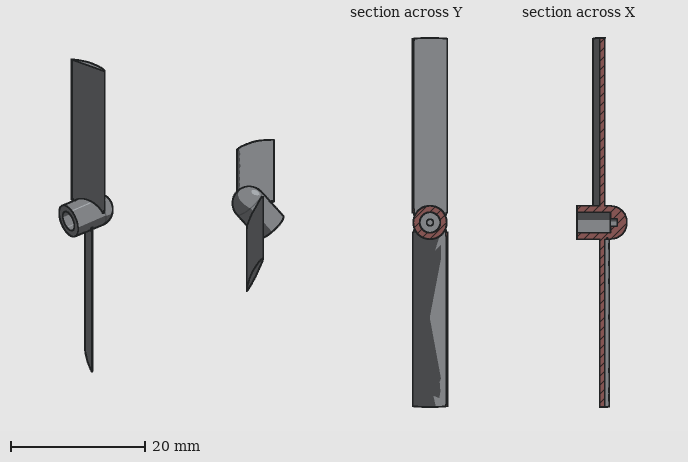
import cadquery as cq
import math

hub_diameter = 5.0
hub_length = 5.0
rotor_diameter = 55.0
bore_diameter = 3.0
bore_depth = hub_length
pilot_diameter = 1.0
pilot_depth = 1.0

rotor_width = 5.35
nose_x = 2.6
nose_y = -0.2
tail_y = -2.6
tail_thickness = 0.1
upper_bulge = 0.55
lower_bulge = 0.15
chord_stations = [0.25, 0.5, 0.75, 0.96]

root_height = 1.45
root_inner_height = 0.9
root_shelf = 0.2
root_inset = 0.35

hub_radius = hub_diameter / 2
rotor_radius = rotor_diameter / 2
tail_x = -rotor_width / 2


def make_hub():
    """Round hub with its open end at -Y and a hemispherical nose at +Y."""
    barrel = cq.Workplane("XZ").circle(hub_radius).extrude(hub_length)
    nose = cq.Workplane("XY").sphere(hub_radius)
    return barrel.union(nose)


def make_blade_outline():
    """Block with the outline of the upper blade along Y: dipped root, tip arc about the hub axis."""
    side_x = rotor_width / 2
    shelf_x = side_x - root_shelf
    inner_x = side_x - root_inset
    tip_shoulder = math.sqrt(rotor_radius**2 - side_x**2)
    return (
        cq.Workplane("XZ")
        .moveTo(-inner_x, root_inner_height)
        .lineTo(inner_x, root_inner_height)
        .lineTo(shelf_x, root_height)
        .lineTo(side_x, root_height)
        .lineTo(side_x, tip_shoulder)
        .threePointArc((0, rotor_radius), (-side_x, tip_shoulder))
        .lineTo(-side_x, root_height)
        .lineTo(-shelf_x, root_height)
        .close()
        .extrude(hub_length, both=True)
    )


def section_point(station, bulge):
    """Point on one face of the airfoil; station runs from 0 at the tail to 1 at the nose.

    The face bows off the chord as a parabola, towards +Y for a positive bulge and -Y for a negative one.
    """
    x = tail_x + station * (nose_x - tail_x)
    chord_y = tail_y + station * (nose_y - tail_y)
    edge_offset = math.copysign(tail_thickness / 2, bulge)
    return (x, chord_y + edge_offset + 4 * bulge * station * (1 - station))


def make_blade():
    """Upper blade: the airfoil section trimmed to the blade outline."""
    lower_face = [section_point(station, -lower_bulge) for station in chord_stations]
    upper_face = [section_point(station, upper_bulge) for station in reversed(chord_stations)]
    tail_bottom = section_point(0, -lower_bulge)
    tail_top = section_point(0, upper_bulge)
    blank = (
        cq.Workplane("XY")
        .moveTo(*tail_bottom)
        .spline(lower_face + [(nose_x, nose_y)] + upper_face + [tail_top], includeCurrent=True)
        .close()
        .extrude(rotor_radius)
    )
    return blank.intersect(make_blade_outline())


def make_bore():
    """Stepped blind bore entering from the open end of the hub."""
    bore = cq.Workplane("XZ", origin=(0, -hub_length, 0)).circle(bore_diameter / 2).extrude(-bore_depth)
    return bore.faces(">Y").workplane().circle(pilot_diameter / 2).extrude(pilot_depth)


blade = make_blade()
opposite_blade = blade.rotate((0, 0, 0), (0, 1, 0), 180)
result = make_hub().union(blade).union(opposite_blade).cut(make_bore())